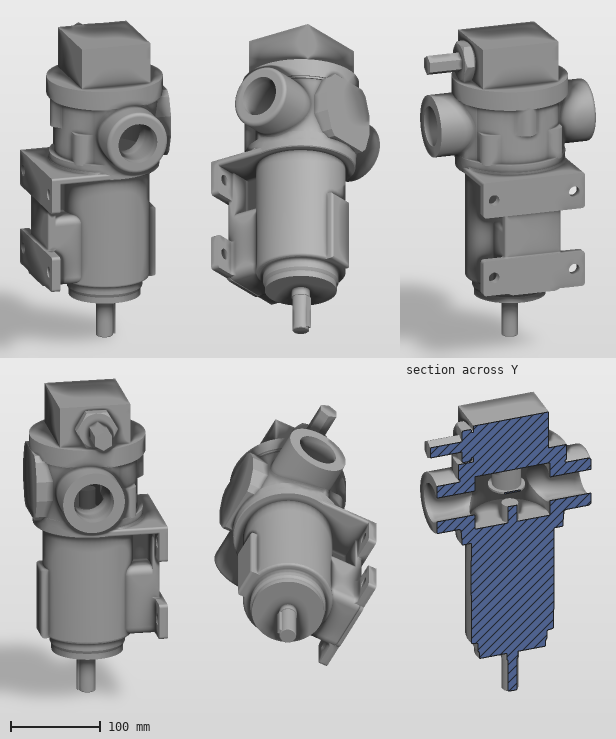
import cadquery as cq
import math


PICK_MARGIN = 0.5

SHAFT_R = 9.35
SHOULDER_R = 10.2
SHOULDER_Z = 40.5
SHAFT_CHAMFER = 0.8
KEY_WIDTH = 5.0
KEY_TOP_Y = 11.8
KEY_Z = (1.7, 38.5)
NOSE_Z = 49.0
NOSE_R = 40.1
NOSE_COLLAR_R = 42.1
NOSE_TOP_Z = 56.0
COLLAR_TAPER_TOP_Z = 59.6
COLLAR_ROOT_FILLET = 2.0

BODY_R = 50.0
BODY_Z = 69.5
BODY_FILLET = 3.0

RING_Z = 198.5
RING_TOP_Z = 216.4
RING_BOTTOM_R = 60.8
RING_TOP_R = 62.0
RING_CHAMFER = 1.0

CASING_R = 55.8
REAR_STEP = 0.5
REAR_R = RING_TOP_R - REAR_STEP
NECK_START = (49.5, -27.0)
NECK_SLOPE = math.radians(46)
WALL_OVERLAP = 6.0
FLARE_FILLET = 8.0
CASING_TOP_Z = 283.0
LIP_HEIGHT = 2.0
LIP_R = 63.5
FLANGE_R = 65.0
FLANGE_TOP_Z = 303.0

PORT_R = 35.0
PORT_BORE_R = 22.6
PORT_Y = 9.5
PORT_Z = 249.8
PORT_LEFT_X = -90.0
PORT_RIGHT_X = 94.0
PORT_END_FILLET = 4.0
PORT_ROOT_FILLET = 3.5
PORT_ROOT_X = (50.5, 62.5)

CHAMBER_R = 45.0
CHAMBER_FLAT_Y = -10.3
SHAFT_TOP_Z = 237.2
PIN_R = 16.2
PIN_Y = 10.7
PIN_RIM_R = 20.8
PIN_RIM_Z = 253.7
PIN_RIM_HEIGHT = 2.3

REAR_BOSS_CORNERS = [(40.5, 11.2), (33.0, 32.0), (26.5, 38.0)]
REAR_BOSS_Y = FLANGE_R

BOLT_BOSS_TIP_R = 63.4
BOLT_BOSS_NOSE = (7.0, 60.4)
BOLT_BOSS_FLANK = (12.0, 55.5)
BOLT_BOSS_FOOT = (14.2, 54.0)
BOLT_BOSS_ROOT = 48.0
LOWER_BOSS_ANGLES = (-45, 45)
LOWER_BOSS_OVERLAP = 1.5

PAD_HALF_WIDTH = 60.0
PAD_Y = -80.0
PAD_BACK_Y = -70.3
PAD_CORNER_R = 3.5
UPPER_PAD_Z = (165.0, 206.3)
LOWER_PAD_Z = (74.3, 114.7)
PAD_HOLE_R = 6.2
PAD_HOLE_X = 47.5
PAD_HOLE_Z = (94.7, 185.0)
SHELF_EDGE_FILLET = 2.5
SHELF_COVE_R = 2.0
FOOT_BLOCK_HALF_WIDTH = 33.0
FOOT_BLOCK_Y = -76.0
FOOT_BLOCK_Z = 72.0
FOOT_BLOCK_FRONT_FILLET = 2.3
FOOT_BLOCK_EDGE_FILLET = 9.0
RECESS_Z = 151.3
RECESS_FRONT_Y = -67.8
RECESS_REAR_Y = -49.2
RIB_HALF_WIDTH = 8.0
PAD_ROOT_FILLET = 4.0
PAD_FRONT_FILLET = 1.5
RECESS_FILLET = 2.5

REAR_PAD_HALF_WIDTH = 17.0
REAR_PAD_Y = 55.0
REAR_PAD_TOP_Z = 149.5
REAR_PAD_FILLET = 3.0

VALVE_X = (-46.5, 43.3)
VALVE_DEPTH = 80.0
VALVE_TOP_Z = 349.0
STEM_Z = 324.6
WASHER_R = 18.0
WASHER_X = -48.5
NUT_X = -60.3
NUT_FLATS = 41.2
NUT_CHAMFER_R = 20.3
STEM_FLATS = 19.2
STEM_X = -98.0
HEXAGON_SIDES = 6
NUT_BEVEL_ANGLE = math.radians(30)


def hexagon_diameter(across_flats):
    """Corner-to-corner size of a hexagon."""
    return across_flats / math.cos(math.pi / HEXAGON_SIDES)


def box(x_range, y_range, z_range):
    """Box between pairs of limits."""
    sizes = [high - low for low, high in (x_range, y_range, z_range)]
    corner = (x_range[0], y_range[0], z_range[0])
    return cq.Workplane("XY").box(*sizes, centered=False).translate(corner)


def cylinder(radius, z_low, z_high, y=0):
    """Vertical cylinder on the plane X = 0."""
    return cq.Workplane("XY", origin=(0, y, z_low)).circle(radius).extrude(z_high - z_low)


def along_x(x, y, z):
    """Sketch plane facing +X, with local axes along Y and Z."""
    return cq.Workplane("YZ", origin=(x, y, z))


def make_shaft():
    shaft = cylinder(SHAFT_R, 0, SHOULDER_Z).faces("<Z").chamfer(SHAFT_CHAMFER)
    shoulder = cylinder(SHOULDER_R, SHOULDER_Z, NOSE_Z)
    key = box((-KEY_WIDTH / 2, KEY_WIDTH / 2), (0, KEY_TOP_Y), KEY_Z)
    return shaft.union(shoulder).union(key)


def make_body():
    root_r = NOSE_COLLAR_R + COLLAR_ROOT_FILLET
    root_z = BODY_Z - COLLAR_ROOT_FILLET
    nose = (
        cq.Workplane("XZ")
        .moveTo(0, NOSE_Z)
        .lineTo(NOSE_R, NOSE_Z)
        .lineTo(NOSE_R, NOSE_TOP_Z)
        .lineTo(NOSE_COLLAR_R, COLLAR_TAPER_TOP_Z)
        .lineTo(NOSE_COLLAR_R, root_z)
        .radiusArc((root_r, BODY_Z), COLLAR_ROOT_FILLET)
        .lineTo(0, BODY_Z)
        .close()
        .revolve(360, (0, 0, 0), (0, 1, 0))
    )
    barrel = cylinder(BODY_R, BODY_Z, RING_Z).faces("<Z").edges().fillet(BODY_FILLET)
    rear_pad = box(
        (-REAR_PAD_HALF_WIDTH, REAR_PAD_HALF_WIDTH), (0, REAR_PAD_Y), (BODY_Z, REAR_PAD_TOP_Z)
    )
    rear_pad = rear_pad.faces(">Y").edges().fillet(REAR_PAD_FILLET)
    return barrel.union(nose).union(rear_pad)


def make_ring():
    ring = cq.Workplane("XY", origin=(0, 0, RING_Z)).circle(RING_BOTTOM_R)
    ring = ring.workplane(offset=RING_TOP_Z - RING_Z).circle(RING_TOP_R).loft()
    return ring.faces("<Z").chamfer(RING_CHAMFER)


def make_casing():
    """Casing wall with both ports; the wall runs a little way into the ring and the cover."""
    z_low = RING_TOP_Z - WALL_OVERLAP
    z_high = CASING_TOP_Z + WALL_OVERLAP
    front = cylinder(CASING_R, z_low, z_high)
    neck_x, neck_y = NECK_START
    run_out = 2 * REAR_R
    flare_x = neck_x + run_out * math.cos(NECK_SLOPE)
    flare_y = neck_y + run_out * math.sin(NECK_SLOPE)
    outline = [(-neck_x, neck_y), (neck_x, neck_y), (flare_x, flare_y), (-flare_x, flare_y)]
    wedge = cq.Workplane("XY", origin=(0, 0, z_low)).polyline(outline).close()
    rear = cylinder(REAR_R, z_low, z_high).intersect(wedge.extrude(z_high - z_low))
    flare_zone = cq.selectors.BoxSelector(
        (-REAR_R, neck_y + PICK_MARGIN, z_low), (REAR_R, 0, z_high)
    )
    rear = rear.edges(flare_zone).edges("|Z").fillet(FLARE_FILLET)
    port_plane = along_x(0, PORT_Y, PORT_Z)
    half = front.union(rear).intersect(box((0, REAR_R), (-REAR_R, REAR_R), (z_low, z_high)))
    half = half.union(port_plane.circle(PORT_R).extrude(-PORT_LEFT_X))
    root_zone = cq.selectors.BoxSelector(
        (PORT_ROOT_X[0], -REAR_R, z_low), (PORT_ROOT_X[1], REAR_R, z_high)
    )
    half = half.edges(root_zone).edges("not |Z").fillet(PORT_ROOT_FILLET)
    right_port = port_plane.circle(PORT_R).extrude(PORT_RIGHT_X)
    right_port = right_port.faces(">X").edges().fillet(PORT_END_FILLET)
    return half.union(half.mirror("YZ")).union(right_port)


def make_rear_boss():
    upper_right = REAR_BOSS_CORNERS
    upper_left = [(-x, z) for x, z in reversed(upper_right)]
    lower = [(-x, -z) for x, z in upper_right + upper_left]
    boss = cq.Workplane("XZ", origin=(0, 0, PORT_Z)).polyline(upper_right + upper_left + lower)
    return boss.close().extrude(-REAR_BOSS_Y)


def make_bolt_boss(angle, z_low, z_high):
    """Boss with a rounded nose; angle 0 faces -Y."""
    nose_x, nose_r = BOLT_BOSS_NOSE
    flank_x, flank_r = BOLT_BOSS_FLANK
    foot_x, foot_r = BOLT_BOSS_FOOT
    boss = (
        cq.Workplane("XY", origin=(0, 0, z_low))
        .moveTo(-foot_x, -BOLT_BOSS_ROOT)
        .lineTo(-foot_x, -foot_r)
        .lineTo(-flank_x, -flank_r)
        .lineTo(-nose_x, -nose_r)
        .threePointArc((0, -BOLT_BOSS_TIP_R), (nose_x, -nose_r))
        .lineTo(flank_x, -flank_r)
        .lineTo(foot_x, -foot_r)
        .lineTo(foot_x, -BOLT_BOSS_ROOT)
        .close()
        .extrude(z_high - z_low)
    )
    return boss.rotate((0, 0, 0), (0, 0, 1), angle)


def make_cover():
    lip = cylinder(LIP_R, CASING_TOP_Z - LIP_HEIGHT, CASING_TOP_Z)
    return cylinder(FLANGE_R, CASING_TOP_Z, FLANGE_TOP_Z).union(lip)


def make_foot_pad(z_range):
    pad = box((-PAD_HALF_WIDTH, PAD_HALF_WIDTH), (PAD_Y, PAD_BACK_Y), z_range)
    return pad.edges("|Y").fillet(PAD_CORNER_R)


def make_rib():
    """Thin rib behind the upper pad, with rounded roots all round both of its sides."""
    flared_half = RIB_HALF_WIDTH + RECESS_FILLET
    y_range = (RECESS_FRONT_Y, RECESS_REAR_Y)
    z_range = (RECESS_Z, RING_Z)
    rib = box((-flared_half, flared_half), y_range, z_range)
    recess = box((RIB_HALF_WIDTH, 2 * flared_half), y_range, z_range)
    recess = recess.faces("<X").edges().fillet(RECESS_FILLET)
    rib = rib.cut(recess).cut(recess.mirror("YZ"))
    core = box((-RIB_HALF_WIDTH, RIB_HALF_WIDTH), (RECESS_REAR_Y, 0), z_range)
    return rib.union(core)


def make_foot_block():
    """Block joining both pads to the body, narrowed to a thin rib between the shelf and RECESS_Z."""
    half = FOOT_BLOCK_HALF_WIDTH
    front = box((-half, half), (FOOT_BLOCK_Y, RECESS_FRONT_Y), (FOOT_BLOCK_Z, RING_Z))
    front = front.edges("|Y and <Z").fillet(FOOT_BLOCK_EDGE_FILLET)
    front = front.edges("|Z and <Y").fillet(FOOT_BLOCK_FRONT_FILLET)
    lower = box((-half, half), (RECESS_FRONT_Y, 0), (FOOT_BLOCK_Z, RECESS_Z))
    lower = lower.edges("|Y").fillet(FOOT_BLOCK_EDGE_FILLET)
    return front.union(lower).union(make_rib())


def make_shelf():
    """Plate from the ring to the upper pad, with a cove where it meets the ring."""
    half = PAD_HALF_WIDTH
    top_z = UPPER_PAD_Z[1]
    shelf = box((-half, half), (PAD_Y, 0), (RING_Z, top_z))
    shelf = shelf.edges("|Y").fillet(SHELF_EDGE_FILLET)
    cove = (
        cq.Workplane("XZ")
        .moveTo(CASING_R, top_z)
        .lineTo(RING_TOP_R + SHELF_COVE_R, top_z)
        .radiusArc((RING_TOP_R, top_z + SHELF_COVE_R), SHELF_COVE_R)
        .lineTo(CASING_R, top_z + SHELF_COVE_R)
        .close()
        .revolve(360, (0, 0, 0), (0, 1, 0))
    )
    flat_half = half - SHELF_EDGE_FILLET
    cove_zone = box((-flat_half, flat_half), (PAD_Y, 0), (RING_Z, RING_TOP_Z))
    return shelf.union(cove.intersect(cove_zone))


def make_foot():
    half = FOOT_BLOCK_HALF_WIDTH
    foot = make_foot_block()
    tongue = box((-half, half), (PAD_Y, FOOT_BLOCK_Y), (FOOT_BLOCK_Z, PAD_HOLE_Z[0]))
    tongue = tongue.edges("|Y and <Z").fillet(FOOT_BLOCK_EDGE_FILLET)
    foot = foot.union(make_foot_pad(LOWER_PAD_Z).union(tongue))
    foot = foot.union(make_foot_pad(UPPER_PAD_Z))
    pad_root = cq.selectors.BoxSelector(
        (-half - PICK_MARGIN, PAD_BACK_Y - PICK_MARGIN, LOWER_PAD_Z[0]),
        (half + PICK_MARGIN, PAD_BACK_Y + PICK_MARGIN, LOWER_PAD_Z[1]),
    )
    foot = foot.edges(pad_root).edges("|Z").fillet(PAD_ROOT_FILLET)
    pad_front = cq.selectors.BoxSelector(
        (-half, FOOT_BLOCK_Y - PICK_MARGIN, LOWER_PAD_Z[1] - PICK_MARGIN),
        (half, FOOT_BLOCK_Y + PICK_MARGIN, UPPER_PAD_Z[0] + PICK_MARGIN),
    )
    foot = foot.edges(pad_front).edges("|X").fillet(PAD_FRONT_FILLET)
    foot = foot.union(make_shelf())
    holes = [(x, z) for x in (-PAD_HOLE_X, PAD_HOLE_X) for z in PAD_HOLE_Z]
    drills = cq.Workplane("XZ", origin=(0, PAD_BACK_Y, 0)).pushPoints(holes).circle(PAD_HOLE_R)
    return foot.cut(drills.extrude(PAD_BACK_Y - PAD_Y))


def make_valve():
    housing = box(VALVE_X, (-VALVE_DEPTH / 2, VALVE_DEPTH / 2), (FLANGE_TOP_Z, VALVE_TOP_Z))
    washer = along_x(WASHER_X, 0, STEM_Z).circle(WASHER_R).extrude(VALVE_X[0] - WASHER_X)
    nut_length = WASHER_X - NUT_X
    nut = along_x(NUT_X, 0, STEM_Z).polygon(HEXAGON_SIDES, hexagon_diameter(NUT_FLATS))
    nut = nut.extrude(nut_length)
    corner_r = hexagon_diameter(NUT_FLATS) / 2
    bevel = (corner_r - NUT_CHAMFER_R) * math.tan(NUT_BEVEL_ANGLE)
    envelope = along_x(NUT_X, 0, STEM_Z).circle(corner_r).extrude(nut_length)
    envelope = envelope.faces("<X or >X").edges().chamfer(bevel, corner_r - NUT_CHAMFER_R)
    stem = along_x(STEM_X, 0, STEM_Z).polygon(HEXAGON_SIDES, hexagon_diameter(STEM_FLATS))
    stem = stem.extrude(NUT_X - STEM_X)
    stem = stem.rotate((0, 0, STEM_Z), (1, 0, STEM_Z), 180 / HEXAGON_SIDES)
    return housing.union(washer).union(nut.intersect(envelope)).union(stem)


def make_cavity():
    chamber = cylinder(CHAMBER_R, RING_TOP_Z, CASING_TOP_Z)
    chamber = chamber.intersect(
        box((-CHAMBER_R, CHAMBER_R), (CHAMBER_FLAT_Y, CHAMBER_R), (RING_TOP_Z, CASING_TOP_Z))
    )
    bore_end_x = CHAMBER_R / 2
    left_bore = along_x(PORT_LEFT_X, PORT_Y, PORT_Z).circle(PORT_BORE_R)
    left_bore = left_bore.extrude(-bore_end_x - PORT_LEFT_X)
    right_bore = along_x(bore_end_x, PORT_Y, PORT_Z).circle(PORT_BORE_R)
    right_bore = right_bore.extrude(PORT_RIGHT_X - bore_end_x)
    return chamber.union(left_bore).union(right_bore)


def make_chamber_parts():
    """Shaft end and the rimmed idler pin inside the chamber."""
    shaft_end = cylinder(SHAFT_R, RING_TOP_Z, SHAFT_TOP_Z)
    pin = cylinder(PIN_R, PIN_RIM_Z, CASING_TOP_Z, PIN_Y)
    rim = cylinder(PIN_RIM_R, PIN_RIM_Z, PIN_RIM_Z + PIN_RIM_HEIGHT, PIN_Y)
    return shaft_end.union(pin).union(rim)


casing = make_casing().union(make_rear_boss())
casing = casing.union(make_bolt_boss(0, PORT_Z, CASING_TOP_Z))
for boss_angle in LOWER_BOSS_ANGLES:
    casing = casing.union(make_bolt_boss(boss_angle, RING_TOP_Z - LOWER_BOSS_OVERLAP, PORT_Z))

result = casing.union(make_ring()).union(make_cover()).union(make_body())
result = result.union(make_foot()).union(make_shaft()).union(make_valve())
result = result.cut(make_cavity()).union(make_chamber_parts())